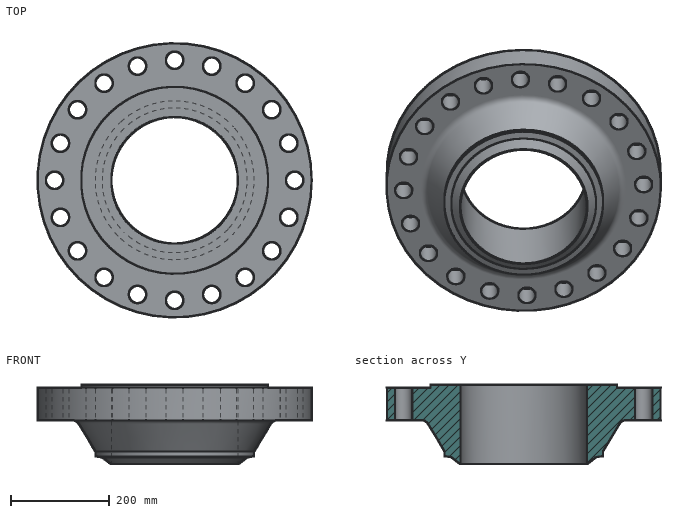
import math

import cadquery as cq


flange_diameter = 558.8
overall_height = 161.93

flange_thickness = 66.7
raised_face_diameter = 381.0
raised_face_height = 6.35

bore_diameter = 257.2
hub_diameter = 400.0
hub_fillet_radius = 15.0
neck_diameter = 323.85
neck_cone_start = 25.4

weld_land = 1.6
inner_bevel_width = 17.4
inner_bevel_angle = 37.5
outer_bevel_angle = 10.0

bolt_hole_count = 20
bolt_hole_diameter = 34.9
bolt_circle_diameter = 488.95

flange_radius = flange_diameter / 2
raised_face_radius = raised_face_diameter / 2
bore_radius = bore_diameter / 2
hub_radius = hub_diameter / 2
neck_radius = neck_diameter / 2
flange_top = overall_height - raised_face_height
flange_bottom = flange_top - flange_thickness
land_radius = bore_radius + weld_land
bevel_break_radius = land_radius + inner_bevel_width
bevel_break_height = inner_bevel_width * math.tan(math.radians(inner_bevel_angle))
outer_bevel_width = neck_radius - bevel_break_radius
bevel_top = bevel_break_height + outer_bevel_width * math.tan(math.radians(outer_bevel_angle))


def hub_fillet_points():
    """Return start, middle and end (radius, height) of the arc from hub cone to flange underside."""
    cone_angle = math.atan2(flange_bottom - neck_cone_start, hub_radius - neck_radius)
    tangent_length = hub_fillet_radius * math.tan(cone_angle / 2)
    start = (
        hub_radius - tangent_length * math.cos(cone_angle),
        flange_bottom - tangent_length * math.sin(cone_angle),
    )
    end = (hub_radius + tangent_length, flange_bottom)
    centre_height = flange_bottom - hub_fillet_radius
    middle = (
        end[0] - hub_fillet_radius * math.sin(cone_angle / 2),
        centre_height + hub_fillet_radius * math.cos(cone_angle / 2),
    )
    return start, middle, end


def flange_body():
    """Revolve the complete half section, bore included, around Z."""
    fillet_start, fillet_middle, fillet_end = hub_fillet_points()
    section = (
        cq.Workplane("XZ")
        .moveTo(bore_radius, 0)
        .lineTo(land_radius, 0)
        .lineTo(bevel_break_radius, bevel_break_height)
        .lineTo(neck_radius, bevel_top)
        .lineTo(neck_radius, neck_cone_start)
        .lineTo(*fillet_start)
        .threePointArc(fillet_middle, fillet_end)
        .lineTo(flange_radius, flange_bottom)
        .lineTo(flange_radius, flange_top)
        .lineTo(raised_face_radius, flange_top)
        .lineTo(raised_face_radius, overall_height)
        .lineTo(bore_radius, overall_height)
        .close()
    )
    return section.revolve(360, (0, 0, 0), (0, 1, 0))


def bolt_holes():
    """Return the ring of bolt hole cutters, the first one on the +X axis."""
    return (
        cq.Workplane("XY", origin=(0, 0, flange_bottom))
        .polarArray(bolt_circle_diameter / 2, 0, 360, bolt_hole_count)
        .circle(bolt_hole_diameter / 2)
        .extrude(flange_thickness)
    )


result = flange_body().cut(bolt_holes())